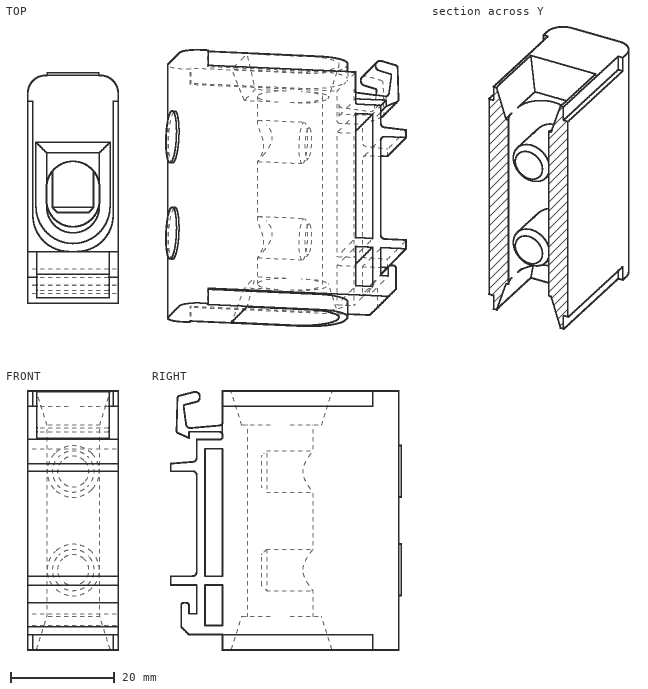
import cadquery as cq
import math


width = 17.5
height = 50.0
depth = 34.0
back_corner_radius = 3.5

ledge_width = 1.0
ledge_height = 3.0
ledge_back = 29.0
rim_radius = 7.0

funnel_half_width = 7.15
funnel_taper_inset = 2.05
funnel_depth = 6.5
funnel_centre_y = 8.7
funnel_back = 21.1
passage_radius = funnel_half_width - funnel_taper_inset
passage_front = 4.8
passage_back = 17.4

screw_offset = 9.5
screw_diameter = 8.0
screw_tip_y = 7.5
screw_tip_chamfer = 1.0
head_diameter = 10.0
head_projection = 0.5

frame_reach = 5.0
frame_wall = 1.65
frame_top = 40.65
frame_bottom = ledge_height
window_top = 38.8
window_bottom = 4.8
fin_reach = 10.0
upper_fin_bottom = 34.5
upper_fin_tip = 36.0
upper_fin_root = 36.4
lower_fin_bottom = 12.55
lower_fin_top = 14.3
fin_fillet = 0.75
frame_root_fillet = 0.5

claw_reach = 8.0
claw_thickness = 1.55
claw_floor = 7.05
claw_top = 9.15
claw_chamfer = 1.5
claw_tip_fillet = 0.55

hook_width = 13.9
arm_bottom = 42.1
arm_root_top = 43.4
arm_root_fillet = 0.65
lip_length = 6.45
lip_bottom = 40.9
nose_fillet = 0.95
hook_outer_fillet = 0.6
hook_bend_fillet = 0.75
nose_bend_fillet = 0.25


def extrude_across(points, across):
    """Extrude a closed outline of (reach, z) points symmetrically across X."""
    outline = [(-reach, z) for reach, z in points]
    return cq.Workplane("YZ").polyline(outline).close().extrude(across / 2, both=True)


def bar(near, far, bottom, top):
    """Full-width rectangular bar between two reaches and two heights."""
    return extrude_across([(near, bottom), (far, bottom), (far, top), (near, top)], width)


def fillet_corners(solid, corners, radius):
    """Round the X-direction edges that pass through the given (reach, z) corners."""
    for reach, z in corners:
        edge = cq.selectors.NearestToPointSelector((0, -reach, z))
        solid = solid.edges("|X").edges(edge).fillet(radius)
    return solid


def make_housing():
    housing = (
        cq.Workplane("XY")
        .box(width, depth, height, centered=(True, False, False))
        .edges("|Z and >Y")
        .fillet(back_corner_radius)
    )
    rim = (
        cq.Workplane("XY")
        .box(width - 2 * ledge_width, ledge_back, ledge_height, centered=(True, False, False))
        .edges("|Z and <Y")
        .fillet(rim_radius)
    )
    ledge = (
        cq.Workplane("XY")
        .box(width, ledge_back, ledge_height, centered=(True, False, False))
        .cut(rim)
    )
    return housing.cut(ledge).cut(ledge.translate((0, 0, height - ledge_height)))


def make_wire_entry():
    """Funnel at each end plus the straight passage between them."""
    taper = math.degrees(math.atan2(funnel_taper_inset, funnel_depth))
    top_funnel = (
        cq.Workplane("XY", origin=(0, 0, height))
        .moveTo(-funnel_half_width, funnel_back)
        .lineTo(-funnel_half_width, funnel_centre_y)
        .threePointArc((0, funnel_centre_y - funnel_half_width), (funnel_half_width, funnel_centre_y))
        .lineTo(funnel_half_width, funnel_back)
        .close()
        .extrude(-funnel_depth, taper=taper)
    )
    bottom_funnel = top_funnel.mirror("XY", (0, 0, height / 2))
    passage = (
        cq.Workplane("XY")
        .center(0, (passage_front + passage_back) / 2)
        .slot2D(passage_back - passage_front, 2 * passage_radius, 90)
        .extrude(height)
    )
    return passage.union(top_funnel).union(bottom_funnel)


def make_screw(z):
    """Clamping screw along Y with its head proud of the back face."""
    start = cq.Workplane("XZ", origin=(0, depth + head_projection, z))
    shank = (
        start.circle(screw_diameter / 2)
        .extrude(depth + head_projection - screw_tip_y)
        .faces("<Y")
        .chamfer(screw_tip_chamfer)
    )
    head = start.circle(head_diameter / 2).extrude(2 * head_projection)
    return shank.union(head)


def make_rail_frame():
    claw_inner = claw_reach - claw_thickness
    frame = bar(0, frame_reach, frame_bottom, frame_top)
    frame = frame.cut(bar(0, frame_reach - frame_wall, window_bottom, window_top))
    claw = extrude_across(
        [
            (frame_reach, frame_bottom),
            (claw_reach - claw_chamfer, frame_bottom),
            (claw_reach, frame_bottom + claw_chamfer),
            (claw_reach, claw_top),
            (claw_inner, claw_top),
            (claw_inner, claw_floor),
            (frame_reach, claw_floor),
        ],
        width,
    )
    claw = fillet_corners(claw, [(claw_reach, claw_top), (claw_inner, claw_top)], claw_tip_fillet)
    upper_fin = extrude_across(
        [
            (frame_reach, upper_fin_bottom),
            (fin_reach, upper_fin_bottom),
            (fin_reach, upper_fin_tip),
            (frame_reach, upper_fin_root),
        ],
        width,
    )
    lower_fin = bar(0, fin_reach, lower_fin_bottom, lower_fin_top)
    frame = frame.union(claw).union(upper_fin).union(lower_fin)
    fin_roots = [
        (frame_reach, upper_fin_root),
        (frame_reach, upper_fin_bottom),
        (frame_reach, lower_fin_top),
    ]
    return fillet_corners(frame, fin_roots, fin_fillet)


def make_spring_hook():
    """Thin arm, upright and downturned nose of the spring hook."""
    nose_upper = (4.35, 50.1)
    nose_lower = (4.35, 48.05)
    inner_top = (7.5, 47.25)
    inner_bottom = (6.9, 42.8)
    outer_bottom = (8.9, 42.0)
    outer_top = (8.7, 49.0)
    hook = extrude_across(
        [
            (0, arm_bottom),
            (lip_length, arm_bottom),
            (lip_length, lip_bottom),
            outer_bottom,
            outer_top,
            nose_upper,
            nose_lower,
            inner_top,
            inner_bottom,
            (0, arm_root_top),
        ],
        hook_width,
    )
    hook = fillet_corners(hook, [nose_upper, nose_lower], nose_fillet)
    hook = fillet_corners(hook, [inner_bottom], hook_bend_fillet)
    hook = fillet_corners(hook, [outer_bottom, outer_top], hook_outer_fillet)
    return fillet_corners(hook, [inner_top], nose_bend_fillet)


housing = make_housing().cut(make_wire_entry())
for screw_z in (height / 2 - screw_offset, height / 2 + screw_offset):
    housing = housing.union(make_screw(screw_z))

part = housing.union(make_rail_frame()).union(make_spring_hook())
part = fillet_corners(part, [(0, arm_bottom), (0, arm_root_top)], arm_root_fillet)
result = fillet_corners(part, [(0, frame_top)], frame_root_fillet)